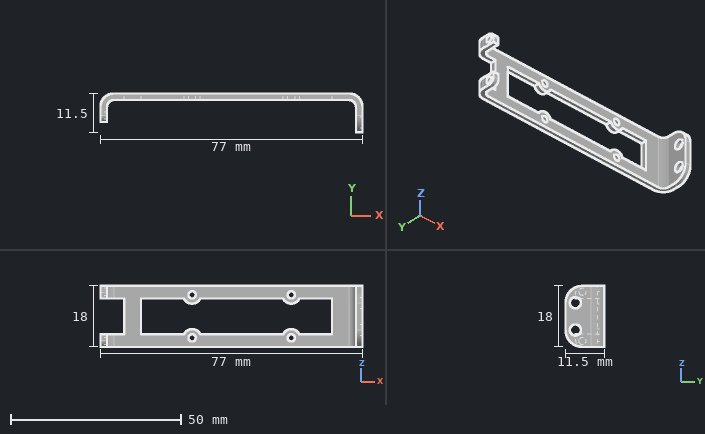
import cadquery as cq

length = 77.0
depth = 11.5
height = 18.0
thickness = 2.0

bend_radius = 2 * thickness
arm_depth = 8.5
arm_corner_radius = thickness
flange_corner_radius = 5.0

opening_height = 10.5
notch_end = 7.0
window_start = 12.0
window_end = 68.0

small_hole_diameter = 2.1
lug_radius = 2.6
web_hole_xs = (26.95, 56.05)
web_hole_z = 6.3
web_hole_places = [(x, z) for x in web_hole_xs for z in (-web_hole_z, web_hole_z)]

arm_hole_y = -6.5
arm_hole_z = 7.2
flange_hole_diameter = 3.2
flange_hole_y = -8.55
flange_hole_z = 4.0


def box(x_start, x_end, y_start, y_end, box_height):
    """Box between the given X and Y limits, centred on Z = 0."""
    return (
        cq.Workplane("XY")
        .box(x_end - x_start, y_end - y_start, box_height, centered=(False, False, True))
        .translate((x_start, y_start, 0))
    )


def cylinders_along_y(places, radius):
    """Cylinders through the web thickness at (x, z) places."""
    return cq.Workplane("XZ").pushPoints(places).circle(radius).extrude(thickness)


def cylinders_along_x(x_start, y, z, diameter):
    """Pair of cylinders through a bent end, mirrored about Z = 0."""
    return (
        cq.Workplane("YZ", origin=(x_start, 0, 0))
        .pushPoints([(y, -z), (y, z)])
        .circle(diameter / 2)
        .extrude(thickness)
    )


def bent_strip():
    """Full-height strip with a short arm at the left and a longer flange at the right."""
    outer = box(0, length, -depth, 0, height).edges("|Z and >Y").fillet(bend_radius)
    inner = (
        box(thickness, length - thickness, -depth, -thickness, height)
        .edges("|Z and >Y")
        .fillet(bend_radius - thickness)
    )
    arm_trim = box(0, thickness, -depth, -arm_depth, height)
    return outer.cut(inner).cut(arm_trim)


def round_end_corners(strip):
    """Round the outer top and bottom corners of the arm and the flange."""
    arm_tip = cq.selectors.BoxSelector(
        (0, -arm_depth - thickness / 2, -height),
        (thickness, -arm_depth + thickness / 2, height),
    )
    rounded = strip.edges(arm_tip).edges("|X").fillet(arm_corner_radius)
    return rounded.edges("|X and <Y").fillet(flange_corner_radius)


def openings():
    """Notch that splits the left arm in two, and the long window with lugs left standing."""
    notch = box(0, notch_end, -depth, 0, opening_height)
    window = box(window_start, window_end, -thickness, 0, opening_height)
    return notch.union(window.cut(cylinders_along_y(web_hole_places, lug_radius)))


result = (
    round_end_corners(bent_strip())
    .cut(openings())
    .cut(cylinders_along_y(web_hole_places, small_hole_diameter / 2))
    .cut(cylinders_along_x(0, arm_hole_y, arm_hole_z, small_hole_diameter))
    .cut(cylinders_along_x(length - thickness, flange_hole_y, flange_hole_z, flange_hole_diameter))
)